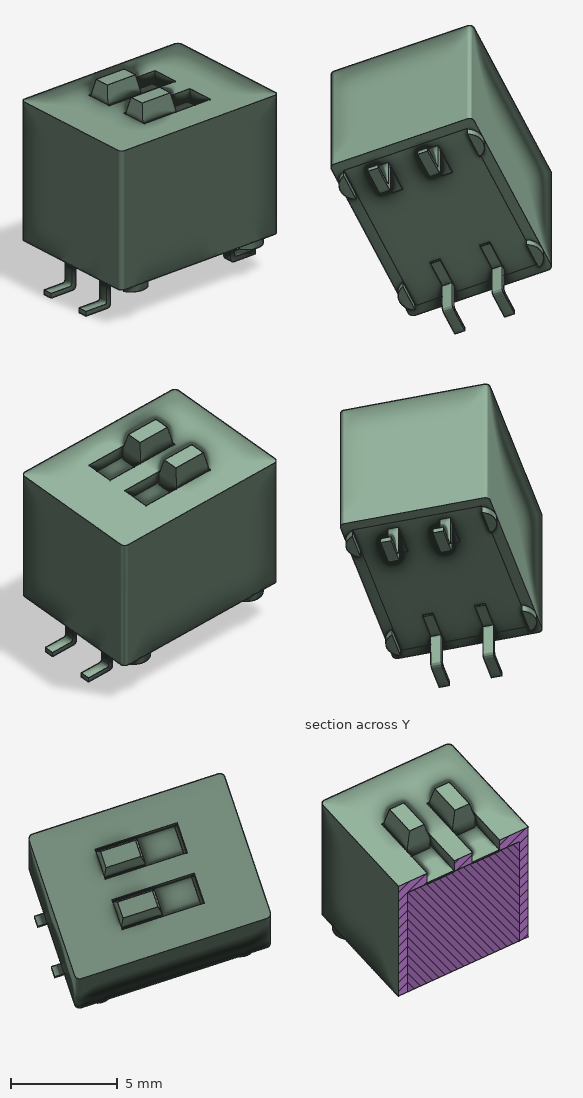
import cadquery as cq


HOUSING_X = 7.29
HOUSING_Y = 9.68
HOUSING_Z = 7.26
CORNER_RADIUS = 0.25
WALL = 0.52

FOOT_RADIUS = 0.8
FOOT_DEPTH_X = 0.49
FOOT_HEIGHT = 0.37
FOOT_Y = 3.54

POLE_PITCH = 2.54
POLE_X = [-POLE_PITCH / 2, POLE_PITCH / 2]
SLOT_X = 1.51
SLOT_Y = 4.06

PLATE_DEPTH = 0.65
PLATE_THICKNESS = 0.08
PLATE_END_GAP = 0.14
KNOB_X = 1.26
KNOB_Y = SLOT_Y / 2
KNOB_TOP_X = 0.81
KNOB_TOP_Y = 1.73
KNOB_RISE = 0.9

TERMINAL_WIDTH = 0.51
TERMINAL_THICKNESS = 0.25
TERMINAL_DROP = 1.99
TERMINAL_TIP_Y = 5.2
TERMINAL_OUTER_Y = 3.93
INSIDE_BEND_RADIUS = 0.12
OUTSIDE_BEND_RADIUS = 0.21

PAD_INNER_Y = 2.23
PAD_HEIGHT = 0.08
PAD_CHAMFER = 0.04

PLATE_TOP_Z = HOUSING_Z - PLATE_DEPTH
BASE_TOP_Z = PLATE_TOP_Z - PLATE_THICKNESS
BASE_X = HOUSING_X - 2 * WALL
BASE_Y = HOUSING_Y - 2 * WALL
TERMINAL_INNER_Y = TERMINAL_OUTER_Y - TERMINAL_THICKNESS


def block(size_x, size_y, bottom_z, top_z, center_y=0):
    """Upright block centred on X = 0."""
    height = top_z - bottom_z
    return cq.Workplane("XY").box(size_x, size_y, height, centered=(True, True, False)).translate(
        (0, center_y, bottom_z)
    )


def make_foot(side_x, side_y):
    """Standoff foot under one corner: the outer segment of a disc, cut off flat on the inside."""
    disc_x = HOUSING_X / 2 - FOOT_RADIUS
    disc = cq.Workplane("XY").center(disc_x, FOOT_Y).circle(FOOT_RADIUS).extrude(-FOOT_HEIGHT)
    segment_x = HOUSING_X / 2 - FOOT_DEPTH_X / 2
    keep = block(FOOT_DEPTH_X, 2 * FOOT_RADIUS, -FOOT_HEIGHT, 0, FOOT_Y).translate((segment_x, 0, 0))
    foot = disc.intersect(keep)
    if side_x < 0:
        foot = foot.mirror("YZ")
    if side_y < 0:
        foot = foot.mirror("XZ")
    return foot


def make_housing():
    """Cover that is open underneath, with a slot through its top for each slider."""
    housing = block(HOUSING_X, HOUSING_Y, 0, HOUSING_Z).edges("|Z").fillet(CORNER_RADIUS)
    housing = housing.cut(block(BASE_X, BASE_Y, 0, BASE_TOP_Z))
    slot = block(SLOT_X, SLOT_Y, BASE_TOP_Z, HOUSING_Z)
    for x in POLE_X:
        housing = housing.cut(slot.translate((x, 0, 0)))
    for side_x in (-1, 1):
        for side_y in (-1, 1):
            housing = housing.union(make_foot(side_x, side_y))
    return housing


def make_terminal():
    """Gull-wing terminal on the +Y side, with its pad, centred on X = 0."""
    leg_y = (TERMINAL_INNER_Y + TERMINAL_OUTER_Y) / 2
    leg = block(TERMINAL_WIDTH, TERMINAL_THICKNESS, -TERMINAL_DROP, 0, leg_y)
    toe_top_z = -TERMINAL_DROP + TERMINAL_THICKNESS
    toe_length = TERMINAL_TIP_Y - TERMINAL_INNER_Y
    toe_y = (TERMINAL_INNER_Y + TERMINAL_TIP_Y) / 2
    toe = block(TERMINAL_WIDTH, toe_length, -TERMINAL_DROP, toe_top_z, toe_y)
    terminal = leg.union(toe)
    inside_bend = (0, TERMINAL_OUTER_Y, toe_top_z)
    outside_bend = (0, TERMINAL_INNER_Y, -TERMINAL_DROP)
    for bend, radius in ((inside_bend, INSIDE_BEND_RADIUS), (outside_bend, OUTSIDE_BEND_RADIUS)):
        terminal = terminal.edges(cq.selectors.NearestToPointSelector(bend)).fillet(radius)

    pad_length = TERMINAL_OUTER_Y - PAD_INNER_Y
    pad = block(TERMINAL_WIDTH, pad_length, -PAD_HEIGHT, 0, PAD_INNER_Y + pad_length / 2)
    pad = pad.faces("<Z").edges("<Y").chamfer(PAD_CHAMFER)
    return terminal.union(pad)


def make_base():
    """Insert that fills the housing from below and carries the terminals."""
    base = block(BASE_X, BASE_Y, 0, BASE_TOP_Z)
    rear_terminal = make_terminal()
    front_terminal = rear_terminal.mirror("XZ")
    for x in POLE_X:
        base = base.union(rear_terminal.translate((x, 0, 0)))
        base = base.union(front_terminal.translate((x, 0, 0)))
    return base


def make_slider():
    """Slider pushed to the -Y end of its slot, centred on X = 0."""
    plate_length = SLOT_Y - PLATE_END_GAP
    plate = block(SLOT_X, plate_length, BASE_TOP_Z, PLATE_TOP_Z, -PLATE_END_GAP / 2)
    knob_y = (KNOB_Y - SLOT_Y) / 2
    shank = block(KNOB_X, KNOB_Y, PLATE_TOP_Z, HOUSING_Z, knob_y)
    knob = (
        cq.Workplane("XY", origin=(0, knob_y, HOUSING_Z))
        .rect(KNOB_X, KNOB_Y)
        .workplane(offset=KNOB_RISE)
        .rect(KNOB_TOP_X, KNOB_TOP_Y)
        .loft(ruled=True)
    )
    return plate.union(shank).union(knob)


housing = make_housing()
base = make_base()
sliders = [make_slider().translate((x, 0, 0)) for x in POLE_X]

result = cq.Compound.makeCompound(
    [housing.val(), base.val(), *[slider.val() for slider in sliders]]
)